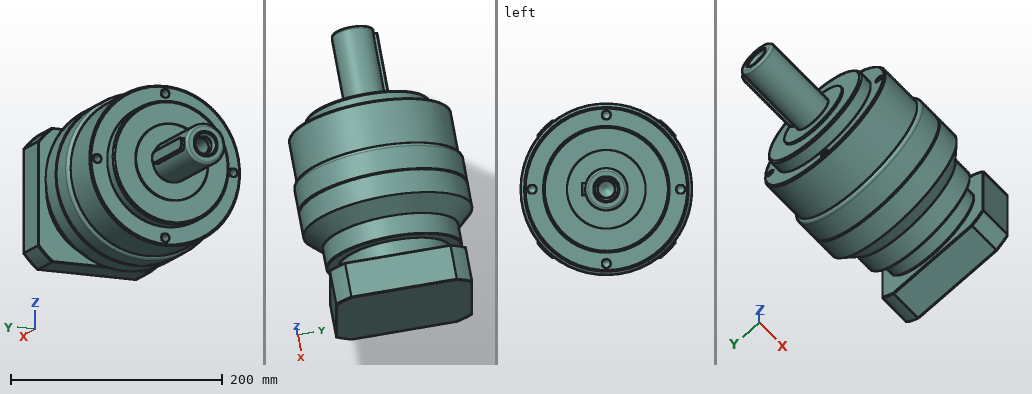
import cadquery as cq
import math


SHAFT_RADIUS = 19.98
SHAFT_END_FILLET = 2.8
SHOULDER_RADIUS = 37.2
SHOULDER_START = 78.8

BORE_MOUTH_RADIUS = 12.3
BORE_SEAT_RADIUS = 11.0
BORE_ENTRY_RADIUS = 8.5
BORE_ENTRY_DEPTH = 11.7
BORE_RADIUS = 8.0
BORE_DEPTH = 36.3
MOUTH_HALF_ANGLE = math.radians(60)
SEAT_HALF_ANGLE = math.radians(30)
DRILL_HALF_ANGLE = math.radians(59)

KEY_START = 4.8
KEY_LENGTH = 70.0
KEY_WIDTH = 12.0
KEY_TOP = 23.0
KEY_HEIGHT = 8.0
KEY_CHAMFER = 0.5

PILOT_START = 80.5
FLANGE_START = 94.8
RING_START = 140.0
GROOVE_CENTRE = 167.5
CONE_START = 191.2
CONE_END = 206.3
NECK_START = 227.0
PLATE_START = 244.5
PLATE_END = 279.5

PILOT_RADIUS = 59.8
FLANGE_RADIUS = 77.7
RING_RADIUS = 81.0
REAR_RADIUS = 65.0
NECK_RADIUS = 53.7

PILOT_CHAMFER = 1.7
FLANGE_CHAMFER = 1.5
RING_ROUND_LENGTH = 4.2
REAR_CHAMFER = 0.7
GROOVE_WIDTH = 0.8
GROOVE_DEPTH = 0.8

HOLE_COUNT = 4
HOLE_RADIUS = 4.2
HOLE_DEPTH = 16.8
HOLE_CIRCLE_RADIUS = 70.2

PLATE_SIDE = 2 * REAR_RADIUS
PLATE_CORNER_RADIUS = 82.5
PLATE_CHAMFER = 0.7
PLATE_BOSS_HEIGHT = 0.8


def revolve_about_x(profile):
    """Turn a closed (x, radius) outline in the XY plane about the X axis."""
    return profile.close().revolve(360, (0, 0, 0), (1, 0, 0))


def cylinder_along_x(start, end, radius):
    return cq.Workplane("YZ", origin=(start, 0, 0)).circle(radius).extrude(end - start)


def key_block():
    """Round-ended key, flat faces normal to Y, chamfered around its top face."""
    return (
        cq.Workplane("XZ", origin=(KEY_START + KEY_LENGTH / 2, KEY_TOP, 0))
        .slot2D(KEY_LENGTH, KEY_WIDTH)
        .extrude(KEY_HEIGHT)
        .faces(">Y")
        .chamfer(KEY_CHAMFER)
    )


def centre_bore():
    """Centre hole: a wide mouth cone, a steeper seat cone, then a stepped hole, pointed at the end."""
    mouth_depth = (BORE_MOUTH_RADIUS - BORE_SEAT_RADIUS) / math.tan(MOUTH_HALF_ANGLE)
    seat_depth = (BORE_SEAT_RADIUS - BORE_ENTRY_RADIUS) / math.tan(SEAT_HALF_ANGLE)
    drill_tip_depth = BORE_RADIUS / math.tan(DRILL_HALF_ANGLE)
    return revolve_about_x(
        cq.Workplane("XY")
        .moveTo(0, 0)
        .lineTo(0, BORE_MOUTH_RADIUS)
        .lineTo(mouth_depth, BORE_SEAT_RADIUS)
        .lineTo(mouth_depth + seat_depth, BORE_ENTRY_RADIUS)
        .lineTo(BORE_ENTRY_DEPTH, BORE_ENTRY_RADIUS)
        .lineTo(BORE_ENTRY_DEPTH, BORE_RADIUS)
        .lineTo(BORE_DEPTH, BORE_RADIUS)
        .lineTo(BORE_DEPTH + drill_tip_depth, 0)
    )


def output_shaft():
    """Shaft with a shoulder that sits in the housing pilot, less the bore and the key seat."""
    journal = cylinder_along_x(0, SHOULDER_START, SHAFT_RADIUS).faces("<X").edges().fillet(SHAFT_END_FILLET)
    shoulder = cylinder_along_x(SHOULDER_START, FLANGE_START, SHOULDER_RADIUS)
    return journal.union(shoulder).cut(centre_bore()).cut(key_block())


def flange_hole(angle):
    """Blind drilled hole on the bolt circle, opening on the flange face."""
    hole = revolve_about_x(
        cq.Workplane("XY")
        .moveTo(FLANGE_START, 0)
        .lineTo(FLANGE_START, HOLE_RADIUS)
        .lineTo(FLANGE_START + HOLE_DEPTH, HOLE_RADIUS)
        .lineTo(FLANGE_START + HOLE_DEPTH + HOLE_RADIUS / math.tan(DRILL_HALF_ANGLE), 0)
    )
    return hole.translate((0, HOLE_CIRCLE_RADIUS, 0)).rotate((0, 0, 0), (1, 0, 0), angle)


def housing_blank():
    """Stepped body of revolution from the pilot to the rear neck."""
    neck_end = PLATE_START - PLATE_BOSS_HEIGHT
    ring_round_height = RING_RADIUS - FLANGE_RADIUS
    round_middle = (
        RING_START + RING_ROUND_LENGTH * (1 - math.sqrt(0.5)),
        FLANGE_RADIUS + ring_round_height * math.sqrt(0.5),
    )
    return revolve_about_x(
        cq.Workplane("XY")
        .moveTo(PILOT_START, 0)
        .lineTo(PILOT_START, PILOT_RADIUS - PILOT_CHAMFER)
        .lineTo(PILOT_START + PILOT_CHAMFER, PILOT_RADIUS)
        .lineTo(FLANGE_START, PILOT_RADIUS)
        .lineTo(FLANGE_START, FLANGE_RADIUS - FLANGE_CHAMFER)
        .lineTo(FLANGE_START + FLANGE_CHAMFER, FLANGE_RADIUS)
        .lineTo(RING_START, FLANGE_RADIUS)
        .threePointArc(round_middle, (RING_START + RING_ROUND_LENGTH, RING_RADIUS))
        .lineTo(CONE_START, RING_RADIUS)
        .lineTo(CONE_END, REAR_RADIUS)
        .lineTo(NECK_START - REAR_CHAMFER, REAR_RADIUS)
        .lineTo(NECK_START, REAR_RADIUS - REAR_CHAMFER)
        .lineTo(NECK_START, NECK_RADIUS)
        .lineTo(neck_end, NECK_RADIUS)
        .lineTo(neck_end, 0)
    )


def ring_groove():
    """Narrow groove around the widest part of the housing."""
    start = GROOVE_CENTRE - GROOVE_WIDTH / 2
    end = GROOVE_CENTRE + GROOVE_WIDTH / 2
    outer = cylinder_along_x(start, end, RING_RADIUS)
    return outer.cut(cylinder_along_x(start, end, RING_RADIUS - GROOVE_DEPTH))


def gearbox_housing():
    housing = housing_blank().cut(ring_groove())
    housing = housing.cut(cylinder_along_x(PILOT_START, FLANGE_START, SHOULDER_RADIUS))
    for index in range(HOLE_COUNT):
        housing = housing.cut(flange_hole(index * 360 / HOLE_COUNT))
    return housing


def adapter_plate():
    """Square plate with turned corners, both faces chamfered, and a low boss that meets the neck."""
    thickness = PLATE_END - PLATE_START
    square = cq.Workplane("YZ", origin=(PLATE_START, 0, 0)).rect(PLATE_SIDE, PLATE_SIDE).extrude(thickness)
    turned = square.intersect(cylinder_along_x(PLATE_START, PLATE_END, PLATE_CORNER_RADIUS))
    plate_body = turned.faces("<X or >X").chamfer(PLATE_CHAMFER)
    return plate_body.union(cylinder_along_x(PLATE_START - PLATE_BOSS_HEIGHT, PLATE_START, NECK_RADIUS))


shaft = output_shaft()
key = key_block()
housing = gearbox_housing()
plate = adapter_plate()

result = cq.Compound.makeCompound([shaft.val(), key.val(), housing.val(), plate.val()])